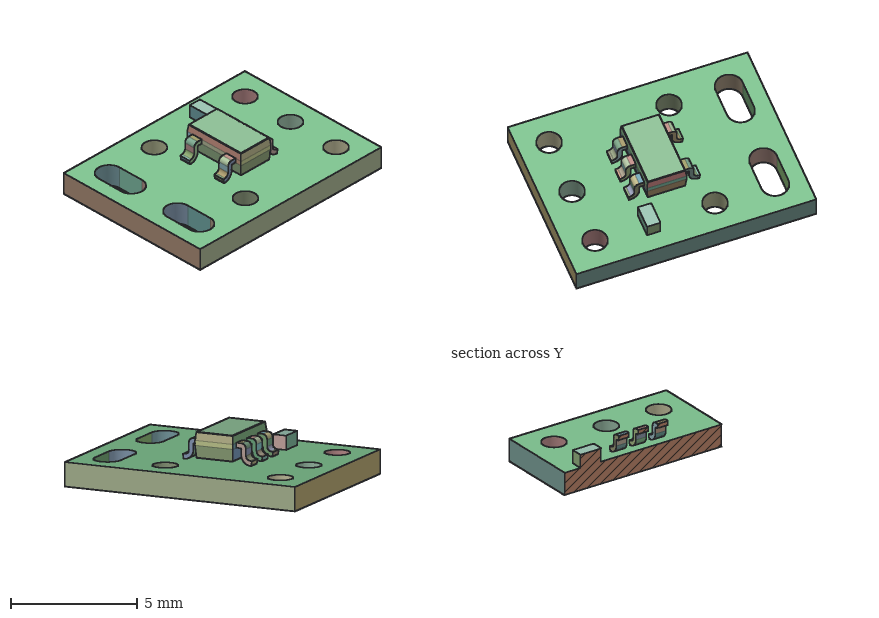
import cadquery as cq
import math

BOARD_X = 7.62
BOARD_Y = 10.16
BOARD_T = 1.0
HOLE_PITCH = 2.54
HOLE_DIAMETER = 1.02
TOP_HOLES_Y = 1.5 * HOLE_PITCH
LOWER_HOLES_Y = -0.5 * HOLE_PITCH
SLOT_X = 0.75 * HOLE_PITCH
SLOT_Y = -1.5 * HOLE_PITCH
SLOT_LENGTH = 2.4
SLOT_WIDTH = 1.14

CHIP_X = 1.02
CHIP_Y = 0.57
CHIP_HEIGHT = 0.58
CHIP_CENTRE = (-HOLE_PITCH, 1.51)

PACKAGE_Y = 0.37
BODY_X = 3.0
BODY_Y = 1.68
BODY_TOP = 1.22
BODY_BOTTOM = 0.15
BODY_UPPER_TAPER = 7.0
BODY_LOWER_TAPER = 5.0
BODY_EDGE_CHAMFER = 0.02

LEAD_T = 0.2
LEAD_WIDTH = 0.51
LEAD_PITCH = 0.94
LEAD_TOP = 0.88
LEAD_SHANK_REACH = 1.26
LEAD_FOOT_REACH = 1.52
LEAD_SHOULDER_OUTER_RADIUS = 0.2
LEAD_SHOULDER_INNER_RADIUS = 0.04
LEAD_ANKLE_INNER_RADIUS = 0.19
LEAD_FOOT_TILT = 10.0
LEAD_TOE_SINK = 0.005


def make_board():
    """Rectangular plate with five round holes and two slots."""
    hole_centres = [(i * HOLE_PITCH, TOP_HOLES_Y) for i in (-1, 0, 1)]
    hole_centres += [(side * HOLE_PITCH, LOWER_HOLES_Y) for side in (-1, 1)]
    slot_centres = [(side * SLOT_X, SLOT_Y) for side in (-1, 1)]
    plate = cq.Workplane("XY").rect(BOARD_X, BOARD_Y).extrude(BOARD_T)
    holes = cq.Workplane("XY").pushPoints(hole_centres).circle(HOLE_DIAMETER / 2).extrude(BOARD_T)
    slots = cq.Workplane("XY").pushPoints(slot_centres).slot2D(SLOT_LENGTH, SLOT_WIDTH).extrude(BOARD_T)
    return plate.cut(holes).cut(slots)


def make_chip():
    """Plain block standing on the board."""
    return (
        cq.Workplane("XY", origin=(*CHIP_CENTRE, BOARD_T))
        .rect(CHIP_X, CHIP_Y)
        .extrude(CHIP_HEIGHT)
    )


def make_package_body():
    """Moulded body in three layers, centred on X = Y = 0 with the board surface at Z = 0."""
    band_bottom = LEAD_TOP - LEAD_T
    band = cq.Workplane("XY", origin=(0, 0, band_bottom)).rect(BODY_X, BODY_Y).extrude(LEAD_T)
    upper = (
        cq.Workplane("XY", origin=(0, 0, LEAD_TOP))
        .rect(BODY_X, BODY_Y)
        .extrude(BODY_TOP - LEAD_TOP, taper=BODY_UPPER_TAPER)
    )
    lower = (
        cq.Workplane("XY", origin=(0, 0, band_bottom))
        .rect(BODY_X, BODY_Y)
        .extrude(BODY_BOTTOM - band_bottom, taper=BODY_LOWER_TAPER)
    )
    upper = upper.faces(">Z").chamfer(BODY_EDGE_CHAMFER)
    lower = lower.faces("<Z").chamfer(BODY_EDGE_CHAMFER)
    return band.union(upper).union(lower)


def make_lead():
    """Gull-wing lead running toward +Y, centred on X = 0 with the board surface at Z = 0."""
    tilt = math.radians(LEAD_FOOT_TILT)
    sin_tilt = math.sin(tilt)
    cos_tilt = math.cos(tilt)
    lead_bottom = LEAD_TOP - LEAD_T
    shank_outer = LEAD_SHANK_REACH
    shank_inner = LEAD_SHANK_REACH - LEAD_T
    shoulder_outer = LEAD_SHOULDER_OUTER_RADIUS
    shoulder_inner = LEAD_SHOULDER_INNER_RADIUS
    ankle_inner = LEAD_ANKLE_INNER_RADIUS
    ankle_outer = LEAD_ANKLE_INNER_RADIUS + LEAD_T

    toe_bottom = (LEAD_FOOT_REACH - LEAD_T * sin_tilt, -LEAD_TOE_SINK)
    toe_top = (LEAD_FOOT_REACH, LEAD_T * cos_tilt - LEAD_TOE_SINK)

    ankle_y = shank_outer + ankle_inner
    sole_start_y = ankle_y - ankle_outer * sin_tilt
    sole_start_z = toe_bottom[1] + (toe_bottom[0] - sole_start_y) * math.tan(tilt)
    ankle_z = sole_start_z + ankle_outer * cos_tilt
    instep_start = (ankle_y - ankle_inner * sin_tilt, ankle_z - ankle_inner * cos_tilt)

    return (
        cq.Workplane("YZ")
        .moveTo(0, LEAD_TOP)
        .lineTo(shank_outer - shoulder_outer, LEAD_TOP)
        .radiusArc((shank_outer, LEAD_TOP - shoulder_outer), shoulder_outer)
        .lineTo(shank_outer, ankle_z)
        .radiusArc(instep_start, -ankle_inner)
        .lineTo(*toe_top)
        .lineTo(*toe_bottom)
        .lineTo(sole_start_y, sole_start_z)
        .radiusArc((shank_inner, ankle_z), ankle_outer)
        .lineTo(shank_inner, lead_bottom - shoulder_inner)
        .radiusArc((shank_inner - shoulder_inner, lead_bottom), -shoulder_inner)
        .lineTo(0, lead_bottom)
        .close()
        .extrude(LEAD_WIDTH / 2, both=True)
    )


def make_package():
    """Five-lead package: three leads toward +Y and two toward -Y."""
    package = make_package_body()
    rear_lead = make_lead()
    front_lead = rear_lead.mirror("XZ")
    for i in (-1, 0, 1):
        package = package.union(rear_lead.translate((i * LEAD_PITCH, 0, 0)))
    for i in (-1, 1):
        package = package.union(front_lead.translate((i * LEAD_PITCH, 0, 0)))
    return package.translate((0, PACKAGE_Y, BOARD_T))


result = make_board().union(make_chip()).union(make_package())